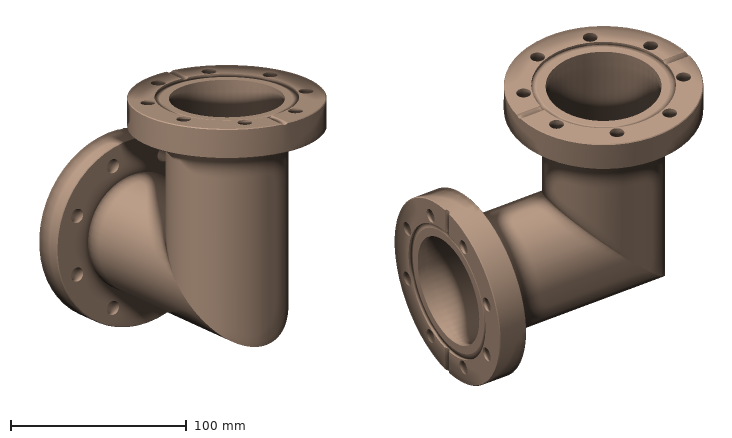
import cadquery as cq

overall_length = 161.8
flange_diameter = 113.5
arm_length = overall_length - flange_diameter / 2

tube_outer_diameter = 70.0
tube_bore_diameter = 66.0

flange_thickness = 17.8
rim_chamfer = 0.5
bolt_circle_diameter = 92.2
bolt_hole_diameter = 8.4
bolt_count = 8
groove_width = 4.5
groove_depth = 1.1

insert_diameter = 82.3
knife_edge_diameter = 76.0
knife_edge_height = 1.0
insert_thickness = 6.6
insert_recess = 1.0

seat_depth = insert_recess + insert_thickness
tube_length = arm_length - seat_depth
cut_margin = 1.6


def reflect_to_side_arm(body):
    """Reflect a body across the mitre plane, from the +Z arm to the -X arm."""
    return body.rotate((0, 0, 0), (0, 1, 0), -90).mirror("XY")


def make_tube():
    """Upright tube with its lower end mitred at 45 degrees."""
    radius = tube_outer_diameter / 2
    tube = (
        cq.Workplane("XY", origin=(0, 0, -radius))
        .circle(radius)
        .circle(tube_bore_diameter / 2)
        .extrude(tube_length + radius)
    )
    reach = radius + cut_margin
    below_mitre = (
        cq.Workplane("XZ")
        .polyline([(-reach, reach), (reach, -reach), (-reach, -reach)])
        .close()
        .extrude(reach, both=True)
    )
    return tube.cut(below_mitre)


def make_leak_groove():
    """Round-bottomed groove across the whole flange face, along X."""
    half_width = groove_width / 2
    groove_radius = (half_width**2 + groove_depth**2) / (2 * groove_depth)
    axis_height = arm_length - groove_depth + groove_radius
    return (
        cq.Workplane("YZ", origin=(0, 0, axis_height))
        .circle(groove_radius)
        .extrude(flange_diameter / 2 + cut_margin, both=True)
    )


def make_flange_ring():
    """Bolt ring with a seat for the insert and a through bore for the tube."""
    ring = (
        cq.Workplane("XY", origin=(0, 0, arm_length - flange_thickness))
        .circle(flange_diameter / 2)
        .extrude(flange_thickness)
        .edges()
        .chamfer(rim_chamfer)
        .faces(">Z")
        .workplane()
        .cboreHole(tube_outer_diameter, insert_diameter, seat_depth)
    )
    bolt_holes = (
        cq.Workplane("XY", origin=(0, 0, arm_length - flange_thickness))
        .polarArray(bolt_circle_diameter / 2, 180 / bolt_count, 360, bolt_count)
        .circle(bolt_hole_diameter / 2)
        .extrude(flange_thickness)
    )
    return ring.cut(bolt_holes).cut(make_leak_groove())


def make_insert():
    """Sealing ring with a conical outer slope rising to the knife edge."""
    bore_radius = tube_bore_diameter / 2
    outer_radius = insert_diameter / 2
    bottom = arm_length - seat_depth
    top = arm_length - insert_recess
    return (
        cq.Workplane("XZ")
        .moveTo(bore_radius, bottom)
        .lineTo(outer_radius, bottom)
        .lineTo(outer_radius, top - knife_edge_height)
        .lineTo(knife_edge_diameter / 2, top)
        .lineTo(bore_radius, top)
        .close()
        .revolve(360, (0, 0, 0), (0, 1, 0))
    )


bodies = []
for make_body in (make_tube, make_flange_ring, make_insert):
    upright = make_body()
    bodies.append(upright.val())
    bodies.append(reflect_to_side_arm(upright).val())

result = cq.Compound.makeCompound(bodies)